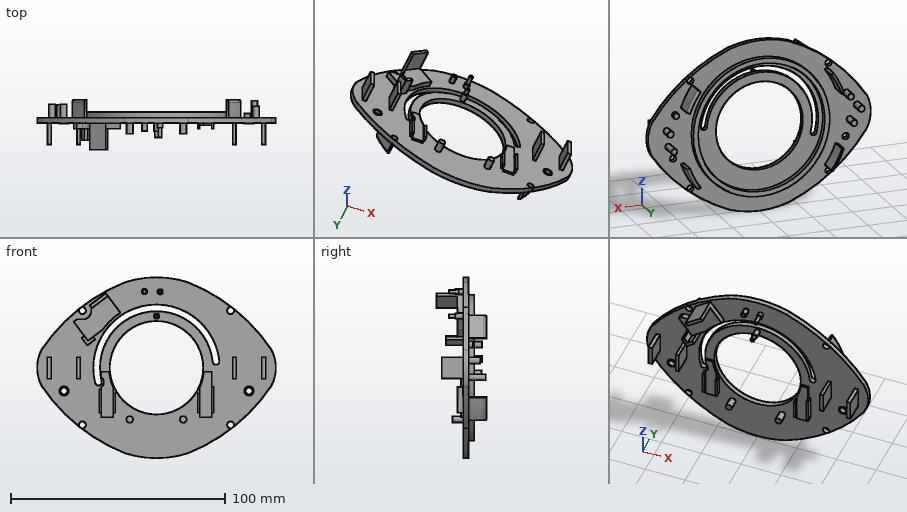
import cadquery as cq
import math


plate_length = 111.5
plate_height = 84.5
plate_thickness = 2.6
crown_half_width = 14.7
crown_rise = 2.3
nose_half_height = 8.5
nose_rise = 2.1
flank_bulge = 3.8

bore_radius = 21.7
slot_inner_radius = 26.4
slot_outer_radius = 29.4
slot_radius = (slot_inner_radius + slot_outer_radius) / 2
slot_start_angle = 6.0
slot_end_angle = 194.0

corner_hole_x = 34.6
corner_hole_z = 26.6
through_hole_diameter = 3.1
collar_x = 43.2
collar_z = -10.8
collar_diameter = 4.3
collar_height = 0.2

outer_tab_x = 50.0
outer_tab_width = 1.9
inner_tab_x = 36.3
inner_tab_width = 1.6
tab_length = 10.0
tab_height = 10.0

post_diameter = 2.6
tip_diameter = 1.8
tip_top = 6.7
tip_chamfer = 0.2
hollow_post = (-5.6, 35.6)
hollow_post_height = 3.7
tipped_posts = [(1.7, 35.5, 2.0), (0.0, 24.1, 3.7)]
lower_peg_x = 12.5
lower_peg_z = -24.1
lower_peg_diameter = 3.1
lower_peg_height = 5.0

rail_inner_x = 20.3
rail_outer_x = 25.8
rail_top = -1.9
rail_bottom = -23.1
rail_height = 1.0
rail_bore_radius = 22.2
cheek_width = 1.0
cheek_height = 2.7
cheek_bottom = -21.1
right_outer_cheek_top = -8.9
left_outer_cheek_top = -9.9
inner_cheek_top = -11.8
slot_end_clearance_radius = 2.6

bracket_angle = 37.0
bracket_left = -18.0
bracket_right = 2.0
bracket_bottom = 29.3
bracket_top = 40.4
bracket_height = 2.7
bracket_slot_clearance_radius = 30.8
bracket_hole_clearance = 4.1
bracket_wall_left = -7.4
bracket_wall_thickness = 1.7
bracket_wall_height = 12.5
clip_thickness = 1.6
clip_length_along = 4.6
clip_length_across = 4.3
clip_height = 8.0

ring_outer_radius = 34.1
ring_inner_radius = 31.7
ring_height = 2.7
curved_wall_outer_radius = 41.8
curved_wall_radial_thickness = 1.5
curved_wall_height = 8.5
curved_wall_start_angle = 19.6
curved_wall_end_angle = 36.0
curved_wall_edge_round = 1.3

back_pegs = [
    (-48.7, 4.1, 3.1, 6.4),
    (-45.0, -2.6, 3.0, 6.1),
    (-43.4, 10.8, 3.0, 6.4),
    (42.4, 10.8, 2.9, 2.0),
    (45.7, -4.5, 2.9, 8.0),
    (46.5, 3.3, 3.1, 5.4),
]


def front_plane(height=0.0):
    """Sketch plane parallel to the plate, a given height in front of its face."""
    return cq.Workplane("XZ", origin=(0, -height, 0))


def back_plane():
    """Sketch plane on the back face; back features extrude by negative lengths."""
    return cq.Workplane("XZ", origin=(0, plate_thickness, 0))


def front_block(x_min, x_max, z_min, z_max, height):
    center = ((x_min + x_max) / 2, (z_min + z_max) / 2)
    return front_plane().center(*center).rect(x_max - x_min, z_max - z_min).extrude(height)


def through_cylinder(x, z, radius):
    """Cutter reaching well past both sides of the part."""
    reach = plate_length
    return front_plane(-reach / 2).center(x, z).circle(radius).extrude(reach)


def polar(radius, angle):
    return (radius * math.cos(math.radians(angle)), radius * math.sin(math.radians(angle)))


def sector(plane, inner, outer, start, end, length):
    """Ring segment between two radii and two angles."""
    middle = (start + end) / 2
    return (
        plane.moveTo(*polar(outer, start))
        .threePointArc(polar(outer, middle), polar(outer, end))
        .lineTo(*polar(inner, end))
        .threePointArc(polar(inner, middle), polar(inner, start))
        .close()
        .extrude(length)
    )


def make_plate():
    half_length = plate_length / 2
    half_height = plate_height / 2
    crown_z = half_height - crown_rise
    nose_x = half_length - nose_rise
    corners = [
        (crown_half_width, crown_z),
        (nose_x, nose_half_height),
        (nose_x, -nose_half_height),
        (crown_half_width, -crown_z),
        (-crown_half_width, -crown_z),
        (-nose_x, -nose_half_height),
        (-nose_x, nose_half_height),
        (-crown_half_width, crown_z),
    ]
    bulges = [flank_bulge, nose_rise, flank_bulge, crown_rise] * 2
    outline = front_plane().moveTo(*corners[0])
    for corner, bulge in zip(corners[1:] + corners[:1], bulges):
        outline = outline.sagittaArc(corner, bulge)
    return outline.close().extrude(-plate_thickness)


def make_slot():
    end_radius = (slot_outer_radius - slot_inner_radius) / 2
    slot = sector(
        front_plane(), slot_inner_radius, slot_outer_radius,
        slot_start_angle, slot_end_angle, -plate_thickness,
    )
    for angle in (slot_start_angle, slot_end_angle):
        slot = slot.union(through_cylinder(*polar(slot_radius, angle), end_radius))
    return slot


def make_tabs():
    tabs = cq.Workplane("XZ")
    for x, width in ((outer_tab_x, outer_tab_width), (inner_tab_x, inner_tab_width)):
        tabs = tabs.union(
            front_plane().pushPoints([(-x, 0), (x, 0)]).rect(width, tab_length).extrude(tab_height)
        )
    return tabs


def make_posts():
    posts = (
        front_plane().center(*hollow_post)
        .circle(post_diameter / 2).circle(tip_diameter / 2).extrude(hollow_post_height)
    )
    for x, z, shoulder in tipped_posts:
        base = front_plane().center(x, z).circle(post_diameter / 2).extrude(shoulder)
        tip = front_plane().center(x, z).circle(tip_diameter / 2).extrude(tip_top)
        posts = posts.union(base).union(tip.faces("<Y").chamfer(tip_chamfer))
    pegs = (
        front_plane().pushPoints([(-lower_peg_x, lower_peg_z), (lower_peg_x, lower_peg_z)])
        .circle(lower_peg_diameter / 2).extrude(lower_peg_height)
    )
    return posts.union(pegs)


def make_rail(outer_cheek_top):
    """Right-hand rail with a cheek on each side."""
    rail = front_block(rail_inner_x, rail_outer_x, rail_bottom, rail_top, rail_height)
    rail = rail.cut(through_cylinder(0, 0, rail_bore_radius))
    outer_cheek = front_block(
        rail_outer_x, rail_outer_x + cheek_width, cheek_bottom, outer_cheek_top, cheek_height)
    inner_cheek = front_block(
        rail_inner_x - cheek_width, rail_inner_x, cheek_bottom, inner_cheek_top, cheek_height)
    return rail.union(outer_cheek).union(inner_cheek)


def make_rails():
    slot_end = polar(slot_radius, slot_end_angle)
    left_rail = make_rail(left_outer_cheek_top).mirror("YZ")
    left_rail = left_rail.cut(through_cylinder(*slot_end, slot_end_clearance_radius))
    return make_rail(right_outer_cheek_top).union(left_rail)


def make_hole_clearance():
    """Square corner with a round concentric to the upper left hole, open up and left."""
    reach = bracket_hole_clearance * 3
    return (
        front_plane()
        .center(-corner_hole_x, corner_hole_z)
        .moveTo(-reach, -bracket_hole_clearance)
        .lineTo(0, -bracket_hole_clearance)
        .radiusArc((bracket_hole_clearance, 0), -bracket_hole_clearance)
        .lineTo(bracket_hole_clearance, reach)
        .lineTo(-reach, reach)
        .close()
        .extrude(bracket_height)
    )


def make_bracket():
    def turn(body):
        return body.rotate((0, 0, 0), (0, 1, 0), -bracket_angle)

    base = turn(front_block(
        bracket_left, bracket_right, bracket_bottom, bracket_top, bracket_height))
    base = base.cut(through_cylinder(0, 0, bracket_slot_clearance_radius))
    base = base.cut(make_hole_clearance())
    wall = turn(front_block(
        bracket_wall_left, bracket_right, bracket_top, bracket_top + bracket_wall_thickness,
        bracket_wall_height))
    clip_left = bracket_left - clip_thickness
    clip_bottom = bracket_bottom - clip_thickness
    clip = front_block(
        clip_left, clip_left + clip_length_along, clip_bottom, bracket_bottom, clip_height)
    clip = clip.union(front_block(
        clip_left, bracket_left, clip_bottom, clip_bottom + clip_length_across, clip_height))
    return base.union(wall).union(turn(clip))


def make_back_ring():
    return back_plane().circle(ring_outer_radius).circle(ring_inner_radius).extrude(-ring_height)


def make_curved_walls():
    wall = sector(
        back_plane(), curved_wall_outer_radius - curved_wall_radial_thickness,
        curved_wall_outer_radius,
        curved_wall_start_angle, curved_wall_end_angle, -curved_wall_height,
    )
    middle_angle = (curved_wall_start_angle + curved_wall_end_angle) / 2
    middle_x, middle_z = polar(curved_wall_outer_radius, middle_angle)
    edge_point = (middle_x, plate_thickness + curved_wall_height, middle_z)
    wall = wall.edges(cq.NearestToPointSelector(edge_point)).fillet(curved_wall_edge_round)
    walls = wall.union(wall.mirror("YZ"))
    return walls.union(walls.mirror("XY"))


def make_back_pegs():
    pegs = cq.Workplane("XZ")
    for x, z, diameter, height in back_pegs:
        pegs = pegs.union(back_plane().center(x, z).circle(diameter / 2).extrude(-height))
    return pegs


collar_points = [(-collar_x, collar_z), (collar_x, collar_z)]
corner_points = [
    (side_x * corner_hole_x, side_z * corner_hole_z)
    for side_x in (-1, 1)
    for side_z in (-1, 1)
]

plate = make_plate()
plate = plate.union(
    front_plane().pushPoints(collar_points).circle(collar_diameter / 2).extrude(collar_height)
)
plate = plate.cut(through_cylinder(0, 0, bore_radius))
plate = plate.cut(make_slot())
for x, z in collar_points + corner_points:
    plate = plate.cut(through_cylinder(x, z, through_hole_diameter / 2))

result = plate
for feature in (
    make_tabs(), make_posts(), make_rails(), make_bracket(),
    make_back_ring(), make_curved_walls(), make_back_pegs(),
):
    result = result.union(feature)